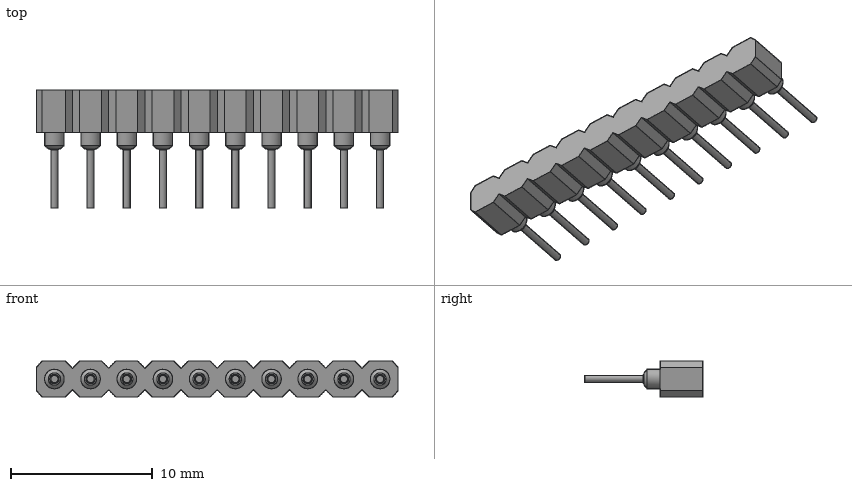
import cadquery as cq

pin_count = 10
pitch = 2.55
body_height = 2.55
body_depth = 3.0
overall_depth = 8.3

end_chamfer_width = 0.4
notch_half_width = 0.5
chamfer_drop = 0.45
notch_depth = 0.5

collar_diameter = 1.37
collar_length = 0.91
cone_length = 0.23
cone_tip_diameter = 0.86
pin_diameter = 0.5
root_taper_diameter = 0.65
root_taper_length = 0.08

body_length = pin_count * pitch
half_length = body_length / 2
half_height = body_height / 2


def top_outline():
    """Upper edge of the strip in (x, z), from the left end to the right end."""
    points = [
        (-half_length, half_height - chamfer_drop),
        (-half_length + end_chamfer_width, half_height),
    ]
    for joint in range(1, pin_count):
        x = -half_length + joint * pitch
        points += [
            (x - notch_half_width, half_height),
            (x, half_height - notch_depth),
            (x + notch_half_width, half_height),
        ]
    points += [
        (half_length - end_chamfer_width, half_height),
        (half_length, half_height - chamfer_drop),
    ]
    return points


def strip_body():
    """Strip with V notches between cells; its front face lies on Y = 0."""
    upper = top_outline()
    lower = [(x, -z) for x, z in reversed(upper)]
    return cq.Workplane("XZ").polyline(upper + lower).close().extrude(-body_depth)


def pin(x):
    """Collar, cone, root taper and thin pin turned about a Y axis at the given x."""
    cone_end = collar_length + cone_length
    pin_end = overall_depth - body_depth
    half_profile = [
        (0, 0),
        (collar_diameter / 2, 0),
        (collar_diameter / 2, -collar_length),
        (cone_tip_diameter / 2, -cone_end),
        (root_taper_diameter / 2, -cone_end),
        (pin_diameter / 2, -cone_end - root_taper_length),
        (pin_diameter / 2, -pin_end),
        (0, -pin_end),
    ]
    profile = cq.Workplane("XY").polyline(half_profile).close()
    return profile.revolve(360, (0, 0, 0), (0, 1, 0)).translate((x, 0, 0))


result = strip_body()
for index in range(pin_count):
    result = result.union(pin(-half_length + (index + 0.5) * pitch))